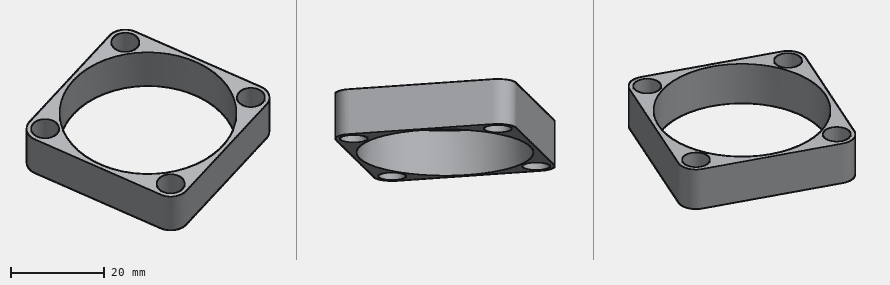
import cadquery as cq

side = 40.0
height = 10.0
corner_radius = 4.0

bore_diameter = 38.0
screw_hole_diameter = 6.0
screw_hole_spacing = side - 2 * corner_radius

frame = cq.Workplane("XY").box(side, side, height).edges("|Z").fillet(corner_radius)

frame = frame.faces(">Z").workplane().hole(bore_diameter)

result = (
    frame.faces(">Z")
    .workplane(origin=(0, 0, 0))
    .rect(screw_hole_spacing, screw_hole_spacing, forConstruction=True)
    .vertices()
    .hole(screw_hole_diameter)
)